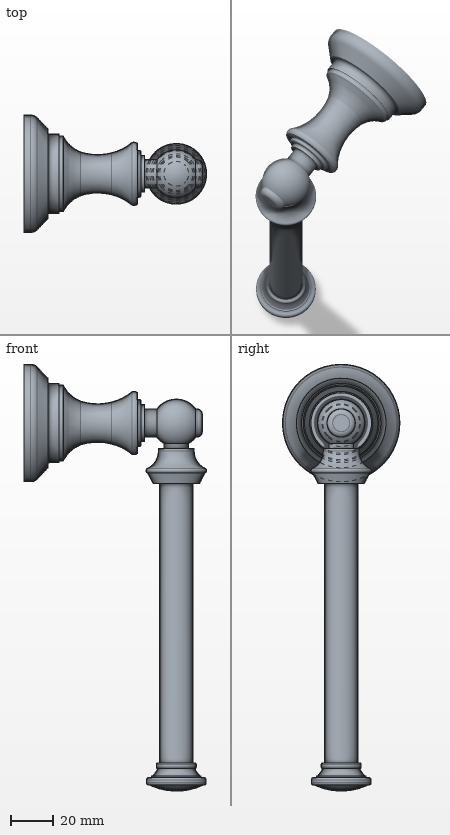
import cadquery as cq


total_height = 203.0

flange_diameter = 55.8
flange_radius = flange_diameter / 2
flange_edge = 3.2
flange_shoulder_x = 6.3
flange_shoulder_radius = 26.5
flange_depth = 11.4
flange_front_radius = 21.3
collar_radius = 18.9
collar_root_round = 0.6
collar_end = 16.6
bead_radius = 18.0
bead_end = 18.9
bead_round = 0.6

waist_flare_mid = (22.7, 12.8)
waist_left = (27.0, 10.3)
waist_mid = (35.0, 9.1)
waist_right = (41.5, 10.0)
waist_rise_mid = (46.7, 11.8)
rim_start = 51.3
rim_start_radius = 14.8
rim_crest = (52.5, 15.0)
rim_end = 54.0
rim_end_radius = 14.5
step_radius = 11.2
step_end = 55.5
step_round = 0.8
small_step_radius = 8.7
small_step_end = 57.5

neck_radius = 6.7
rod_x = 72.5
ball_radius = 11.4
stub_end = 84.8
stub_round = 2.6
ball_stem_radius = 5.9

rod_radius = 8.0
bell_top = -12.2
bell_top_radius = 8.5
bell_lip = 1.2
bell_radius = 14.5
bell_edge_radius = 13.5
bell_edge_top = -21.5
bell_edge_bottom = -23.7
bell_base = -28.8
bell_base_radius = 11.0
bell_hollow = 1.0

foot_bottom = flange_radius - total_height
foot_height = 13.4
foot_shoulder_height = 7.3
foot_disc_top_height = 6.5
foot_dome_height = 2.8
foot_top = foot_bottom + foot_height
foot_lip_radius = 9.5
foot_lip = 2.6
foot_lip_round = 0.8
foot_flare_mid_radius = 9.7
foot_flare_radius = 11.2
foot_shoulder_radius = 11.8
foot_shoulder = foot_bottom + foot_shoulder_height
foot_disc_radius = 14.2
foot_disc_top = foot_bottom + foot_disc_top_height
foot_disc_bottom = foot_bottom + foot_dome_height
foot_disc_round = 1.2
foot_dome_radius = 12.5


def wall_post():
    """Flange, collar and waisted post, as (x, radius) revolved about X."""
    profile = (
        cq.Workplane("XY")
        .lineTo(0, flange_radius)
        .lineTo(flange_edge, flange_radius)
        .tangentArcPoint((flange_shoulder_x, flange_shoulder_radius), relative=False)
        .tangentArcPoint((flange_depth, flange_front_radius), relative=False)
        .lineTo(flange_depth, collar_radius + collar_root_round)
        .radiusArc((flange_depth + collar_root_round, collar_radius), -collar_root_round)
        .lineTo(collar_end, collar_radius)
        .lineTo(collar_end, bead_radius)
        .lineTo(bead_end - bead_round, bead_radius)
        .radiusArc((bead_end, bead_radius - bead_round), bead_round)
        .threePointArc(waist_flare_mid, waist_left)
        .threePointArc(waist_mid, waist_right)
        .threePointArc(waist_rise_mid, (rim_start, rim_start_radius))
        .threePointArc(rim_crest, (rim_end, rim_end_radius))
        .lineTo(rim_end, step_radius)
        .lineTo(step_end - step_round, step_radius)
        .radiusArc((step_end, step_radius - step_round), step_round)
        .lineTo(step_end, small_step_radius)
        .lineTo(small_step_end, small_step_radius)
        .lineTo(small_step_end, 0)
        .close()
    )
    return profile.revolve(360, (0, 0, 0), (1, 0, 0))


def ball_joint():
    """Ball carried by a round neck that shows again as a stub beyond it."""
    neck = cq.Workplane("YZ").circle(neck_radius).extrude(stub_end)
    neck = neck.faces(">X").edges().fillet(stub_round)
    ball = cq.Workplane("XY").sphere(ball_radius).translate((rod_x, 0, 0))
    return neck.union(ball)


def hanging_rod():
    """Stem, bell, rod and foot, as (radius, z) revolved about Z."""
    bell_mid = (
        (bell_top_radius + bell_edge_radius) / 2 - bell_hollow,
        (bell_top - bell_lip + bell_edge_top) / 2 - bell_hollow,
    )
    flare_mid_z = (foot_top - foot_lip + foot_shoulder) / 2
    disc_flat_radius = foot_disc_radius - foot_disc_round
    dome_radius = (foot_dome_radius**2 + foot_dome_height**2) / (2 * foot_dome_height)
    profile = (
        cq.Workplane("XZ")
        .lineTo(ball_stem_radius, 0)
        .lineTo(ball_stem_radius, bell_top)
        .lineTo(bell_top_radius, bell_top)
        .lineTo(bell_top_radius, bell_top - bell_lip)
        .threePointArc(bell_mid, (bell_edge_radius, bell_edge_top))
        .threePointArc(
            (bell_radius, (bell_edge_top + bell_edge_bottom) / 2),
            (bell_edge_radius, bell_edge_bottom),
        )
        .lineTo(bell_base_radius, bell_base)
        .lineTo(rod_radius, bell_base)
        .lineTo(rod_radius, foot_top)
        .lineTo(foot_lip_radius - foot_lip_round, foot_top)
        .radiusArc((foot_lip_radius, foot_top - foot_lip_round), foot_lip_round)
        .lineTo(foot_lip_radius, foot_top - foot_lip + foot_lip_round)
        .radiusArc((foot_lip_radius - foot_lip_round, foot_top - foot_lip), foot_lip_round)
        .threePointArc((foot_flare_mid_radius, flare_mid_z), (foot_flare_radius, foot_shoulder))
        .lineTo(foot_shoulder_radius, foot_shoulder)
        .lineTo(foot_shoulder_radius, foot_disc_top)
        .lineTo(disc_flat_radius, foot_disc_top)
        .radiusArc((foot_disc_radius, foot_disc_top - foot_disc_round), foot_disc_round)
        .lineTo(foot_disc_radius, foot_disc_bottom + foot_disc_round)
        .radiusArc((disc_flat_radius, foot_disc_bottom), foot_disc_round)
        .lineTo(foot_dome_radius, foot_disc_bottom)
        .radiusArc((0, foot_bottom), dome_radius)
        .close()
    )
    return profile.revolve(360, (0, 0, 0), (0, 1, 0)).translate((rod_x, 0, 0))


result = wall_post().union(ball_joint()).union(hanging_rod())